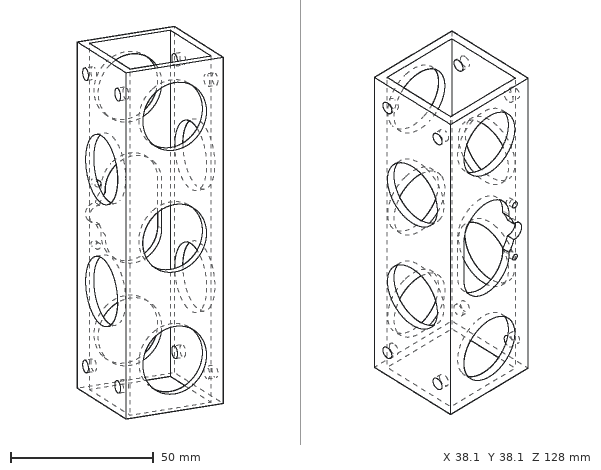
import cadquery as cq

length = 128.0
side = 38.1
wall = 3.2

opening_diameter = 25.0
opening_pitch = 45.0

mount_diameter = 4.5
mount_offset = 12.5
mount_height = 54.0

slot_width = 22.1
slot_length = 39.7
slot_center_y = (opening_diameter - slot_width) / 2
notch_diameter = 7.0
notch_y = -12.3
pilot_diameter = 2.3
pilot_y = -12.5
pilot_height = 11.5


def holes_along_y(points, diameter):
    """Cylinders through both Y walls at the given (x, z) points."""
    return cq.Workplane("XZ").pushPoints(points).circle(diameter / 2).extrude(side, both=True)


def holes_along_x(points, diameter):
    """Cylinders through both X walls at the given (y, z) points."""
    return cq.Workplane("YZ").pushPoints(points).circle(diameter / 2).extrude(side, both=True)


def switch_cutout():
    """Slot, notch and pilot holes that pass through the -X wall only."""
    wall_face = cq.Workplane("YZ", origin=(-side / 2, 0, 0))
    slot = wall_face.center(slot_center_y, 0).slot2D(slot_length, slot_width, 90).extrude(wall)
    notch = wall_face.center(notch_y, 0).circle(notch_diameter / 2).extrude(wall)
    pilot_points = [(pilot_y, -pilot_height), (pilot_y, pilot_height)]
    pilots = wall_face.pushPoints(pilot_points).circle(pilot_diameter / 2).extrude(wall)
    return slot.union(notch).union(pilots)


bore = side - 2 * wall
tube = cq.Workplane("XY").box(side, side, length).cut(cq.Workplane("XY").box(bore, bore, length))

y_wall_openings = [(0, step * opening_pitch) for step in (-0.5, 0.5)]
x_wall_openings = [(0, step * opening_pitch) for step in (-1, 0, 1)]
mount_points = [
    (x_sign * mount_offset, z_sign * mount_height) for x_sign in (-1, 1) for z_sign in (-1, 1)
]

result = (
    tube.cut(holes_along_y(y_wall_openings, opening_diameter))
    .cut(holes_along_x(x_wall_openings, opening_diameter))
    .cut(holes_along_y(mount_points, mount_diameter))
    .cut(switch_cutout())
)